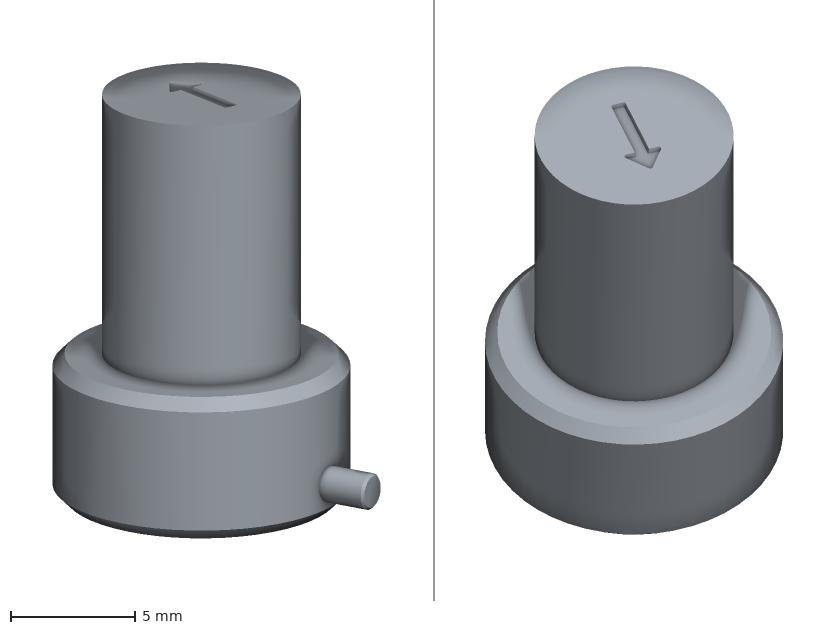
import cadquery as cq

total_height = 17.0
flange_diameter = 12.0
flange_height = 6.0
flange_chamfer = 0.5
stem_diameter = 8.0

core_diameter = 4.6

arrow_depth = 0.2
arrow_draft = 15.0
arrow_angle = 159.0
arrow_corner_radius = 0.1
arrow_tip_x = 2.02
arrow_head_base_x = 0.94
arrow_tail_x = -1.95
arrow_head_half_width = 0.78
arrow_shaft_half_width = 0.3

pin_diameter = 1.5
pin_center_height = 1.5
pin_reach = 2.0
pin_insertion = 2.0
pin_tip_chamfer = 0.1
pin_inner_x = flange_diameter / 2 - pin_insertion
pin_length = pin_insertion + pin_reach


def make_pin_blank():
    """Plain cylinder along X, used for the pin and for its hole."""
    return (
        cq.Workplane("YZ", origin=(pin_inner_x, 0, pin_center_height))
        .circle(pin_diameter / 2)
        .extrude(pin_length)
    )


def make_core_blank():
    """Plain cylinder along Z, used for the core and for its bore."""
    return cq.Workplane("XY").circle(core_diameter / 2).extrude(total_height)


def make_housing():
    """Chamfered flange and stem, with the core bore and the pin hole."""
    flange = (
        cq.Workplane("XY")
        .circle(flange_diameter / 2)
        .extrude(flange_height)
        .faces("<Z or >Z")
        .chamfer(flange_chamfer)
    )
    stem = cq.Workplane("XY").circle(stem_diameter / 2).extrude(total_height)
    return flange.union(stem).cut(make_core_blank()).cut(make_pin_blank())


def make_arrow_recess():
    """Arrow-shaped cutter with rounded outer corners and drafted walls."""
    tip_x = arrow_tip_x - arrow_corner_radius
    head_base_x = arrow_head_base_x + arrow_corner_radius
    tail_x = arrow_tail_x + arrow_corner_radius
    head_y = arrow_head_half_width - arrow_corner_radius
    shaft_y = arrow_shaft_half_width - arrow_corner_radius
    outline = [
        (tip_x, 0),
        (head_base_x, head_y),
        (head_base_x, shaft_y),
        (tail_x, shaft_y),
        (tail_x, -shaft_y),
        (head_base_x, -shaft_y),
        (head_base_x, -head_y),
    ]
    return (
        cq.Workplane("XY", origin=(0, 0, total_height))
        .polyline(outline)
        .close()
        .offset2D(arrow_corner_radius)
        .extrude(-arrow_depth, taper=arrow_draft)
        .rotate((0, 0, 0), (0, 0, 1), arrow_angle)
    )


def make_core():
    """Round insert with the arrow recess in its top face."""
    return make_core_blank().cut(make_arrow_recess())


def make_pin():
    """Dowel with a small chamfer on its outer end."""
    return make_pin_blank().faces(">X").chamfer(pin_tip_chamfer)


housing = make_housing()
core = make_core()
pin = make_pin()

result = cq.Compound.makeCompound([housing.val(), core.val(), pin.val()])